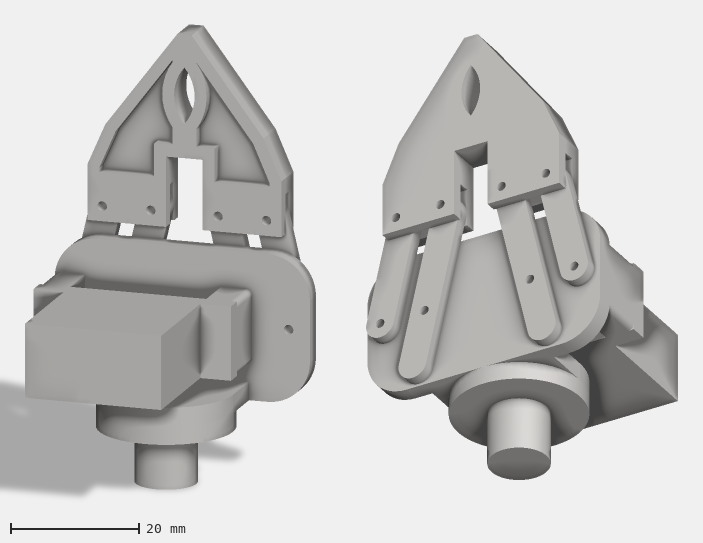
import cadquery as cq
import math


SHAFT_RADIUS = 5.0
SHAFT_HEIGHT = 8.95
DISC_RADIUS = 11.0
DISC_THICKNESS = 3.0
DISC_AXIS_Y = -DISC_RADIUS

PLATE_WIDTH = 42.0
PLATE_HEIGHT = 24.0
PLATE_THICKNESS = 3.0
PLATE_CORNER_RADIUS = 7.0
PLATE_BOTTOM_Z = SHAFT_HEIGHT + DISC_THICKNESS
PLATE_CENTER_Z = PLATE_BOTTOM_Z + PLATE_HEIGHT / 2
SHELF_THICKNESS = 3.0
POST_DEPTH = 7.5
POST_EDGE_RADIUS = 1.0

SERVO_BODY_LENGTH = 22.4
SERVO_BODY_DEPTH = 19.45
SERVO_HEIGHT = 12.05
TAB_LENGTH = 5.05
TAB_THICKNESS = 3.0
SERVO_LEFT_X = -PLATE_WIDTH / 2
SERVO_LENGTH = SERVO_BODY_LENGTH + 2 * TAB_LENGTH
TAB_BACK_Y = -PLATE_THICKNESS - POST_DEPTH

LINK_THICKNESS = 2.1
LINK_END_RADIUS = 2.5
PIVOT_DIAMETER = 1.55
PIVOT_SPACING = 8.0
PLATE_PIVOT_OUTER_X = 17.5
JAW_PIVOT_OUTER_X = 13.5
JAW_PIVOT_Z = 41.0
PLATE_PIVOT_Z = PLATE_CENTER_Z
INNER_TAIL_DROP = 9.1

JAW_THICKNESS = 6.0
JAW_TIP_WIDTH = 1.2
JAW_SHOULDER_X = 13.0
JAW_SHOULDER_Z = 54.3
JAW_OUTER_X = 15.95
JAW_OUTER_TOP_Z = 47.6
JAW_BOTTOM_Z = 38.6
JAW_INNER_X = 3.0
JAW_INNER_TOP_Z = 50.0
JAW_TOP_Z = 70.0
GRIP_BOTTOM_Z = 55.5
GRIP_TOP_Z = 64.7
GRIP_DEPTH = 1.7
SLOT_TOP_Z = 45.0
POCKET_RIM = 1.95
POCKET_FLOOR_Z = 46.5
POCKET_DEPTH = 2.3
JAW_CENTER_Y = LINK_THICKNESS / 2
JAW_FRONT_Y = JAW_CENTER_Y - JAW_THICKNESS / 2
JAW_BACK_Y = JAW_CENTER_Y + JAW_THICKNESS / 2

SIDES = (-1, 1)
PIVOT_OFFSETS = (0, PIVOT_SPACING)


def box(x_range, y_range, z_range):
    """Box given by its limits along each axis."""
    lengths = [high - low for low, high in (x_range, y_range, z_range)]
    corner = (x_range[0], y_range[0], z_range[0])
    return cq.Workplane("XY").box(*lengths, centered=False).translate(corner)


def front_sketch(back_y):
    """XZ workplane whose extrusions run from back_y towards -Y."""
    return cq.Workplane("XZ", origin=(0, back_y, 0))


def make_turntable():
    shaft = cq.Workplane("XY", origin=(0, DISC_AXIS_Y, 0)).circle(SHAFT_RADIUS).extrude(SHAFT_HEIGHT)
    return shaft.faces(">Z").workplane().circle(DISC_RADIUS).extrude(DISC_THICKNESS)


def make_plate():
    plate = (
        front_sketch(0)
        .center(0, PLATE_CENTER_Z)
        .rect(PLATE_WIDTH, PLATE_HEIGHT)
        .extrude(PLATE_THICKNESS)
        .edges("|Y")
        .fillet(PLATE_CORNER_RADIUS)
    )
    pivots = [
        (side * (PLATE_PIVOT_OUTER_X - offset), PLATE_PIVOT_Z)
        for side in SIDES
        for offset in PIVOT_OFFSETS
    ]
    holes = front_sketch(0).pushPoints(pivots).circle(PIVOT_DIAMETER / 2).extrude(PLATE_THICKNESS)
    return plate.cut(holes)


def make_shelf():
    return (
        cq.Workplane("XY", origin=(0, 0, PLATE_BOTTOM_Z))
        .moveTo(-DISC_RADIUS, -PLATE_THICKNESS)
        .lineTo(-DISC_RADIUS, DISC_AXIS_Y)
        .threePointArc((0, DISC_AXIS_Y - DISC_RADIUS), (DISC_RADIUS, DISC_AXIS_Y))
        .lineTo(DISC_RADIUS, -PLATE_THICKNESS)
        .close()
        .extrude(SHELF_THICKNESS)
    )


def make_post(left_x, outer_side):
    """Post under one servo tab, with rounded edges on its outer side ("<X" or ">X")."""
    return (
        front_sketch(-PLATE_THICKNESS)
        .center(left_x + TAB_LENGTH / 2, PLATE_CENTER_Z)
        .rect(TAB_LENGTH, SERVO_HEIGHT)
        .extrude(POST_DEPTH)
        .faces(outer_side)
        .edges("|Y")
        .fillet(POST_EDGE_RADIUS)
    )


def make_bracket():
    left_post = make_post(SERVO_LEFT_X, "<X")
    right_post = make_post(SERVO_LEFT_X + SERVO_LENGTH - TAB_LENGTH, ">X")
    return make_plate().union(make_shelf()).union(left_post).union(right_post)


def make_servo():
    z_range = (PLATE_CENTER_Z - SERVO_HEIGHT / 2, PLATE_CENTER_Z + SERVO_HEIGHT / 2)
    tab_front_y = TAB_BACK_Y - TAB_THICKNESS
    body_left_x = SERVO_LEFT_X + TAB_LENGTH
    tabs = box((SERVO_LEFT_X, SERVO_LEFT_X + SERVO_LENGTH), (tab_front_y, TAB_BACK_Y), z_range)
    body = box(
        (body_left_x, body_left_x + SERVO_BODY_LENGTH),
        (tab_front_y - SERVO_BODY_DEPTH, tab_front_y),
        z_range,
    )
    return tabs.union(body)


def make_link(side, offset, tail_drop):
    """Round-ended link; tail_drop extends it in line below its plate pivot."""
    jaw_pivot_x = side * (JAW_PIVOT_OUTER_X - offset)
    plate_pivot_x = side * (PLATE_PIVOT_OUTER_X - offset)
    slope = (plate_pivot_x - jaw_pivot_x) / (JAW_PIVOT_Z - PLATE_PIVOT_Z)
    end_x = plate_pivot_x + slope * tail_drop
    end_z = PLATE_PIVOT_Z - tail_drop
    run_x = jaw_pivot_x - end_x
    run_z = JAW_PIVOT_Z - end_z
    bar = (
        front_sketch(LINK_THICKNESS)
        .center((jaw_pivot_x + end_x) / 2, (JAW_PIVOT_Z + end_z) / 2)
        .slot2D(
            math.hypot(run_x, run_z) + 2 * LINK_END_RADIUS,
            2 * LINK_END_RADIUS,
            math.degrees(math.atan2(run_z, run_x)),
        )
        .extrude(LINK_THICKNESS)
    )
    holes = (
        front_sketch(LINK_THICKNESS)
        .pushPoints([(jaw_pivot_x, JAW_PIVOT_Z), (plate_pivot_x, PLATE_PIVOT_Z)])
        .circle(PIVOT_DIAMETER / 2)
        .extrude(LINK_THICKNESS)
    )
    return bar.cut(holes)


def jaw_outline(back_y):
    """Closed outline of the right jaw, with the curved grip on its inner edge."""
    return (
        front_sketch(back_y)
        .moveTo(0, JAW_TOP_Z)
        .lineTo(JAW_TIP_WIDTH, JAW_TOP_Z)
        .lineTo(JAW_SHOULDER_X, JAW_SHOULDER_Z)
        .lineTo(JAW_OUTER_X, JAW_OUTER_TOP_Z)
        .lineTo(JAW_OUTER_X, JAW_BOTTOM_Z)
        .lineTo(JAW_INNER_X, JAW_BOTTOM_Z)
        .lineTo(JAW_INNER_X, JAW_INNER_TOP_Z)
        .lineTo(0, JAW_INNER_TOP_Z)
        .lineTo(0, GRIP_BOTTOM_Z)
        .threePointArc((GRIP_DEPTH, (GRIP_BOTTOM_Z + GRIP_TOP_Z) / 2), (0, GRIP_TOP_Z))
        .close()
    )


def make_jaw_pocket():
    """Front pocket that leaves an even rim inside the jaw outline, above the pivot block."""
    pocket_back_y = JAW_FRONT_Y + POCKET_DEPTH
    inset = jaw_outline(pocket_back_y).offset2D(-POCKET_RIM, "intersection").extrude(POCKET_DEPTH)
    above_floor = box((0, JAW_OUTER_X), (JAW_FRONT_Y, pocket_back_y), (POCKET_FLOOR_Z, JAW_TOP_Z))
    return inset.intersect(above_floor)


def make_right_jaw():
    pivots = [(JAW_PIVOT_OUTER_X - offset, JAW_PIVOT_Z) for offset in PIVOT_OFFSETS]
    holes = front_sketch(JAW_BACK_Y).pushPoints(pivots).circle(PIVOT_DIAMETER / 2).extrude(JAW_THICKNESS)
    link_slot = box((0, JAW_OUTER_X), (0, LINK_THICKNESS), (JAW_BOTTOM_Z, SLOT_TOP_Z))
    blank = jaw_outline(JAW_BACK_Y).extrude(JAW_THICKNESS)
    return blank.cut(make_jaw_pocket()).cut(link_slot).cut(holes)


turntable = make_turntable()
bracket = make_bracket()
servo = make_servo()
right_jaw = make_right_jaw()
left_jaw = right_jaw.mirror("YZ")

links = []
for link_side in SIDES:
    links.append(make_link(link_side, 0, 0).val())
    links.append(make_link(link_side, PIVOT_SPACING, INNER_TAIL_DROP).val())

result = cq.Compound.makeCompound(
    [turntable.val(), bracket.val(), servo.val(), right_jaw.val(), left_jaw.val(), *links]
)